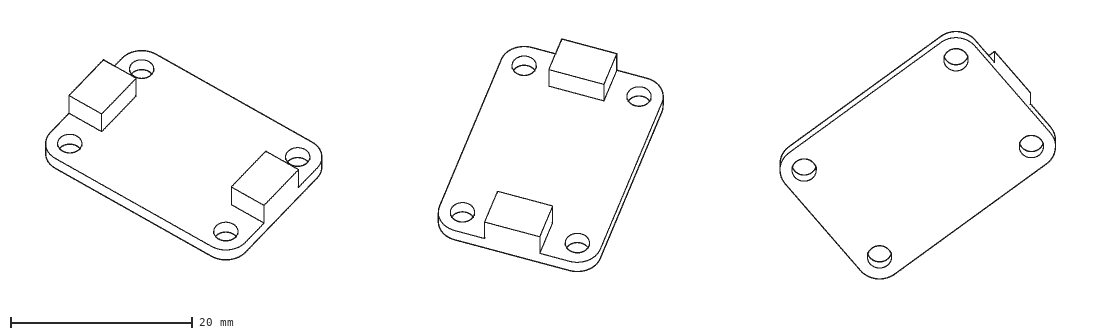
import cadquery as cq

plate_length = 26.77
plate_width = 18.75
plate_thickness = 1.7
corner_radius = 2.68

hole_diameter = 2.68
hole_spacing_x = plate_length - 2 * corner_radius
hole_spacing_y = plate_width - 2 * corner_radius

overall_height = 4.75
block_length = 4.5
block_width = 6.42
block_height = overall_height - plate_thickness
block_offset = (plate_length - block_length) / 2


def make_plate():
    """Rounded plate resting on Z = 0 with a through hole at each corner."""
    return (
        cq.Workplane("XY")
        .rect(plate_length, plate_width)
        .extrude(plate_thickness)
        .edges("|Z")
        .fillet(corner_radius)
        .faces(">Z")
        .workplane()
        .rect(hole_spacing_x, hole_spacing_y, forConstruction=True)
        .vertices()
        .hole(hole_diameter)
    )


def make_end_blocks():
    """Matching rectangular blocks standing on the plate at both ends."""
    return (
        cq.Workplane("XY")
        .workplane(offset=plate_thickness)
        .pushPoints([(-block_offset, 0), (block_offset, 0)])
        .rect(block_length, block_width)
        .extrude(block_height)
    )


result = make_plate().union(make_end_blocks())